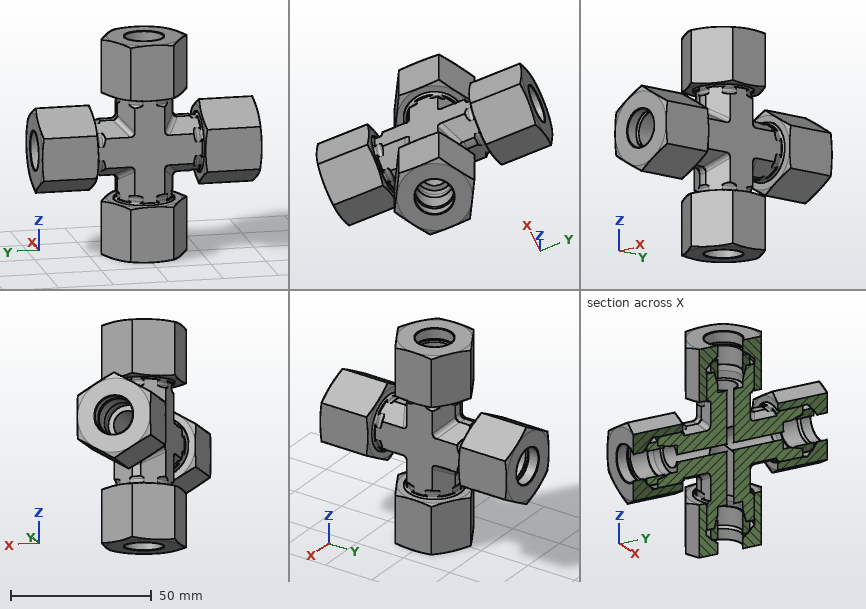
import cadquery as cq
import math

SPAN = 80.0
ARM_COUNT = 4
ARM_TURN = 360 / ARM_COUNT
ARM_END = SPAN / 2
TUBE_DIAMETER = 14.0

NUT_FLATS = 27.0
NUT_LENGTH = 20.5
NUT_FACE_DIAMETER = NUT_FLATS - 0.2
NUT_CORNER_ANGLE = 15.0
NUT_MOUTH_CHAMFER = 0.2
NUT_BORE_DEPTH = 4.2
NUT_BASE = ARM_END - NUT_LENGTH
THREAD_DIAMETER = 22.0

RING_REAR_DEPTH = 5.6
RING_COLLAR_DIAMETER = 19.0
RING_TIP_LENGTH = 2.8

BODY_FLATS = 19.0
CORNER_DIAMETER = 20.4
ARM_FILLET = 1.9
THREAD_START = 19.0
BODY_END = 30.0
SOCKET_SEAT = 22.0
BORE_DIAMETER = 10.0
CONE_MOUTH_DIAMETER = 16.2
CONE_HALF_ANGLE = 12.0

RELIEF_DIAMETER = 19.7
RELIEF_FLOOR_START = 17.1
RELIEF_FLOOR_END = 18.3
RELIEF_FILLET = 1.0
HEXAGON_FLANK_ANGLE = 70.0
THREAD_FLANK_ANGLE = 30.0

HEXAGON_HALF_ANGLE = math.radians(30)
CONE_SLOPE = math.tan(math.radians(CONE_HALF_ANGLE))
CLEARANCE = 0.8


def on_arm(shape, index):
    """Turn a shape built along +Z onto arm number `index`."""
    return shape.rotate((0, 0, 0), (1, 0, 0), index * ARM_TURN)


def cylinder(diameter, start, end):
    return cq.Workplane("XY").workplane(offset=start).circle(diameter / 2).extrude(end - start)


def revolved(points):
    """Revolve a closed (radius, height) outline about the Z axis."""
    return cq.Workplane("XZ").polyline(points).close().revolve(360, (0, 0, 0), (0, 1, 0))


def hexagonal_bar():
    """Bar through two opposite arms, with flats facing X and rounded corners facing Y."""
    half_flats = BODY_FLATS / 2
    half_side = half_flats * math.tan(HEXAGON_HALF_ANGLE)
    corner_radius = CORNER_DIAMETER / 2
    arc_half_angle = HEXAGON_HALF_ANGLE - math.acos(half_flats / corner_radius)
    arc_x = corner_radius * math.sin(arc_half_angle)
    arc_y = corner_radius * math.cos(arc_half_angle)
    return (
        cq.Workplane("XY")
        .workplane(offset=-THREAD_START)
        .moveTo(half_flats, -half_side)
        .lineTo(half_flats, half_side)
        .lineTo(arc_x, arc_y)
        .threePointArc((0, corner_radius), (-arc_x, arc_y))
        .lineTo(-half_flats, half_side)
        .lineTo(-half_flats, -half_side)
        .lineTo(-arc_x, -arc_y)
        .threePointArc((0, -corner_radius), (arc_x, -arc_y))
        .close()
        .extrude(2 * THREAD_START)
    )


def is_between_arms(edge):
    """True for an edge on a diagonal plane between two arms, away from the X axis."""
    center = edge.Center()
    on_diagonal = math.isclose(abs(center.y), abs(center.z), abs_tol=0.01)
    return on_diagonal and abs(center.y) > BODY_FLATS / 8


def filleted_cross():
    cross = hexagonal_bar().union(on_arm(hexagonal_bar(), 1))
    concave_edges = [edge for edge in cross.edges().vals() if is_between_arms(edge)]
    return cross.newObject(concave_edges).fillet(ARM_FILLET)


def relief_fillet_point(floor_end, angle):
    """Point on the groove fillet that leaves the floor at `floor_end`, after turning by `angle`."""
    radius = RELIEF_DIAMETER / 2 + RELIEF_FILLET * (1 - math.cos(angle))
    return radius, floor_end + RELIEF_FILLET * math.sin(angle)


def relief_groove():
    """Ring-shaped cutter for the groove between the hexagon and the thread."""
    floor_radius = RELIEF_DIAMETER / 2
    outer_radius = THREAD_DIAMETER / 2 + CLEARANCE
    hexagon_turn = math.radians(HEXAGON_FLANK_ANGLE)
    thread_turn = math.radians(THREAD_FLANK_ANGLE)
    hexagon_mid = relief_fillet_point(RELIEF_FLOOR_START, -hexagon_turn / 2)
    hexagon_radius, hexagon_height = relief_fillet_point(RELIEF_FLOOR_START, -hexagon_turn)
    thread_mid = relief_fillet_point(RELIEF_FLOOR_END, thread_turn / 2)
    thread_radius, thread_height = relief_fillet_point(RELIEF_FLOOR_END, thread_turn)
    bottom = hexagon_height - (outer_radius - hexagon_radius) / math.tan(hexagon_turn)
    top = thread_height + (outer_radius - thread_radius) / math.tan(thread_turn)
    return (
        cq.Workplane("XZ")
        .moveTo(outer_radius, bottom)
        .lineTo(hexagon_radius, hexagon_height)
        .threePointArc(hexagon_mid, (floor_radius, RELIEF_FLOOR_START))
        .lineTo(floor_radius, RELIEF_FLOOR_END)
        .threePointArc(thread_mid, (thread_radius, thread_height))
        .lineTo(outer_radius, top)
        .close()
        .revolve(360, (0, 0, 0), (0, 1, 0))
    )


def body_cone():
    """Cutter for the cone that narrows from the arm mouth to the tube socket."""
    mouth_radius = CONE_MOUTH_DIAMETER / 2
    tube_radius = TUBE_DIAMETER / 2
    cone_end = BODY_END - (mouth_radius - tube_radius) / CONE_SLOPE
    return revolved([(0, BODY_END), (mouth_radius, BODY_END), (tube_radius, cone_end), (0, cone_end)])


def make_body():
    body = filleted_cross()
    for index in range(ARM_COUNT):
        body = body.union(on_arm(cylinder(THREAD_DIAMETER, THREAD_START, BODY_END), index))
        body = body.cut(on_arm(relief_groove(), index))
    for index in range(ARM_COUNT):
        body = body.cut(on_arm(cylinder(BORE_DIAMETER, 0, BODY_END), index))
        body = body.cut(on_arm(cylinder(TUBE_DIAMETER, SOCKET_SEAT, BODY_END), index))
        body = body.cut(on_arm(body_cone(), index))
    return body


def nut_envelope():
    """Round blank whose end cones chamfer the hexagon corners."""
    face_radius = NUT_FACE_DIAMETER / 2
    rim_radius = NUT_FLATS / 2 / math.cos(HEXAGON_HALF_ANGLE) + CLEARANCE
    drop = (rim_radius - face_radius) * math.tan(math.radians(NUT_CORNER_ANGLE))
    return revolved([
        (0, NUT_BASE),
        (face_radius, NUT_BASE),
        (rim_radius, NUT_BASE + drop),
        (rim_radius, ARM_END - drop),
        (face_radius, ARM_END),
        (0, ARM_END),
    ])


def nut_cavity():
    """Cutter for the thread, the 45 degree pressing cone, the tube bore and its chamfered mouth."""
    thread_radius = THREAD_DIAMETER / 2
    tube_radius = TUBE_DIAMETER / 2
    cone_top = ARM_END - NUT_BORE_DEPTH
    return revolved([
        (0, NUT_BASE),
        (thread_radius, NUT_BASE),
        (thread_radius, cone_top - (thread_radius - tube_radius)),
        (tube_radius, cone_top),
        (tube_radius, ARM_END - NUT_MOUTH_CHAMFER),
        (tube_radius + NUT_MOUTH_CHAMFER, ARM_END),
        (0, ARM_END),
    ])


def make_nut():
    hexagon = (
        cq.Workplane("XY")
        .workplane(offset=NUT_BASE)
        .polygon(6, NUT_FLATS / math.cos(HEXAGON_HALF_ANGLE))
        .extrude(NUT_LENGTH)
        .rotate((0, 0, 0), (0, 0, 1), math.degrees(HEXAGON_HALF_ANGLE))
    )
    return hexagon.intersect(nut_envelope()).cut(nut_cavity())


def make_ring():
    """Ring with a collar on the arm mouth, a shoulder under the nut cone and a tip in the body cone."""
    tube_radius = TUBE_DIAMETER / 2
    collar_radius = RING_COLLAR_DIAMETER / 2
    mouth_radius = CONE_MOUTH_DIAMETER / 2
    rear = ARM_END - RING_REAR_DEPTH
    rear_radius = tube_radius + RING_REAR_DEPTH - NUT_BORE_DEPTH
    tip = BODY_END - RING_TIP_LENGTH
    return revolved([
        (tube_radius, rear),
        (rear_radius, rear),
        (collar_radius, rear - (collar_radius - rear_radius)),
        (collar_radius, BODY_END),
        (mouth_radius, BODY_END),
        (mouth_radius - RING_TIP_LENGTH * CONE_SLOPE, tip),
        (tube_radius, tip),
    ])


body = make_body()
nuts = [on_arm(make_nut(), index) for index in range(ARM_COUNT)]
rings = [on_arm(make_ring(), index) for index in range(ARM_COUNT)]

result = cq.Compound.makeCompound([body.val(), *[nut.val() for nut in nuts], *[ring.val() for ring in rings]])